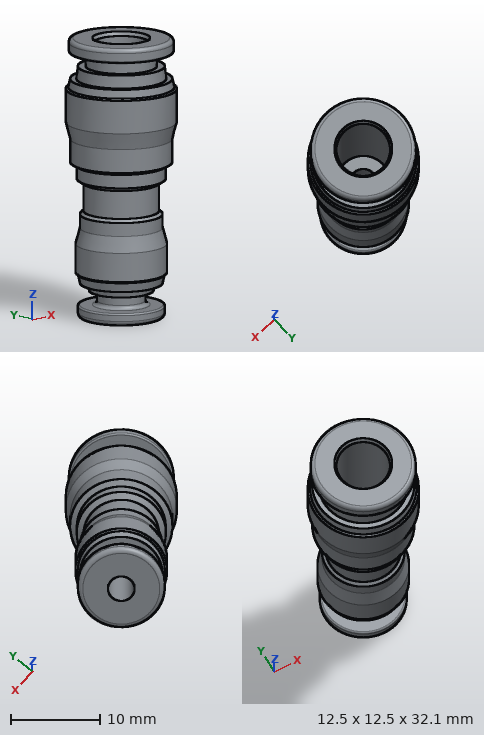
import cadquery as cq

total_height = 32.1

large_flange_diameter = 11.8
large_flange_height = 1.6
large_neck_diameter = 8.0
large_rim_radius = 0.48
small_flange_diameter = 9.8
small_flange_height = 1.45
small_neck_diameter = 5.5
small_rim_radius = 0.58
flange_back_radius = 0.2
neck_fillet_radius = 0.48

small_body_diameter = 10.3
small_shoulder_diameter = 9.3
waist_diameter = 8.5
middle_collar_diameter = 10.0
large_body_diameter = 12.5
large_shoulder_diameter = 11.5
body_bottom = 3.05
body_top = 28.85
body_corners = [
    (body_bottom, 7.25),
    (3.92, 7.65),
    (3.92, small_shoulder_diameter),
    (4.98, 9.8),
    (5.17, small_body_diameter),
    (8.47, small_body_diameter),
    (10.3, small_shoulder_diameter),
    (11.85, small_shoulder_diameter),
    (12.23, waist_diameter),
    (15.45, waist_diameter),
    (15.92, middle_collar_diameter),
    (17.45, middle_collar_diameter),
    (17.85, large_shoulder_diameter),
    (20.55, large_shoulder_diameter),
    (22.47, large_body_diameter),
    (26.25, large_body_diameter),
    (26.45, 11.95),
    (27.4, large_shoulder_diameter),
    (27.4, 10.1),
    (body_top, 9.8),
]

passage_diameter = 3.0
socket_diameter = 6.0
socket_mouth_diameter = 6.5
lead_in_depth = 0.48
socket_floor = 15.45


def cylinder(diameter, bottom, top):
    """Solid cylinder on the Z axis between two heights."""
    return cq.Workplane("XY").workplane(offset=bottom).circle(diameter / 2).extrude(top - bottom)


def make_body():
    """Revolve the stepped outline between the two necks."""
    outline = [(diameter / 2, height) for height, diameter in body_corners]
    profile = [(0, body_bottom)] + outline + [(0, body_top)]
    return cq.Workplane("XZ").polyline(profile).close().revolve(360, (0, 0, 0), (0, 1, 0))


def make_button(flange_diameter, flange_height, neck_diameter, neck_length, rim_radius):
    """Release button standing on its rim at Z = 0, with the neck pointing up."""
    flange_radius = flange_diameter / 2
    neck_radius = neck_diameter / 2
    profile = (
        cq.Workplane("XZ")
        .lineTo(flange_radius - rim_radius, 0)
        .radiusArc((flange_radius, rim_radius), -rim_radius)
        .lineTo(flange_radius, flange_height - flange_back_radius)
        .radiusArc((flange_radius - flange_back_radius, flange_height), -flange_back_radius)
        .lineTo(neck_radius + neck_fillet_radius, flange_height)
        .radiusArc((neck_radius, flange_height + neck_fillet_radius), neck_fillet_radius)
        .lineTo(neck_radius, flange_height + neck_length)
        .lineTo(0, flange_height + neck_length)
        .close()
    )
    return profile.revolve(360, (0, 0, 0), (0, 1, 0))


small_button = make_button(
    small_flange_diameter,
    small_flange_height,
    small_neck_diameter,
    body_bottom - small_flange_height,
    small_rim_radius,
)
large_button = make_button(
    large_flange_diameter,
    large_flange_height,
    large_neck_diameter,
    total_height - body_top - large_flange_height,
    large_rim_radius,
)
large_button = large_button.rotate((0, 0, 0), (1, 0, 0), 180).translate((0, 0, total_height))

socket = cylinder(socket_diameter, socket_floor, total_height)
mouth = cq.Workplane(
    cq.Solid.makeCone(
        socket_diameter / 2,
        socket_mouth_diameter / 2,
        lead_in_depth,
        pnt=cq.Vector(0, 0, total_height - lead_in_depth),
    )
)
passage = cylinder(passage_diameter, 0, total_height)

result = make_body().union(small_button).union(large_button)
result = result.cut(socket).cut(mouth).cut(passage)